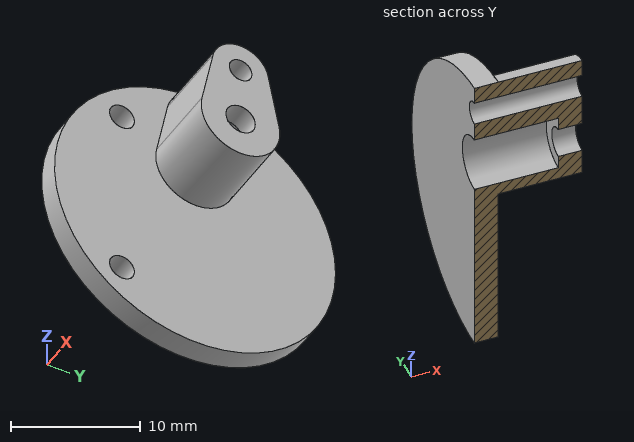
import cadquery as cq
import math

disc_diameter = 25
disc_thickness = 2

boss_length = 7
total_length = disc_thickness + boss_length
pin_z = 10
pin_hole_diameter = 2
pin_boss_radius = disc_diameter / 2 - pin_z
shaft_z = 5
shaft_boss_radius = 3.5
shaft_hole_diameter = 2.6

counterbore_diameter = 4.8
counterbore_depth = 7

side_hole_diameter = 2.2
side_hole_y = -6.5
side_hole_z = 7.7


def cylinder(diameter, length, y=0, z=0):
    """Cylinder along +X that starts at X = 0."""
    return cq.Workplane("YZ").center(y, z).circle(diameter / 2).extrude(length)


def make_boss():
    """Tapered lobe whose flats are tangent to both end arcs."""
    tangent_sin = (shaft_boss_radius - pin_boss_radius) / (pin_z - shaft_z)
    tangent_cos = math.sqrt(1 - tangent_sin**2)
    pin_tangent_y = pin_boss_radius * tangent_cos
    pin_tangent_z = pin_z + pin_boss_radius * tangent_sin
    shaft_tangent_y = shaft_boss_radius * tangent_cos
    shaft_tangent_z = shaft_z + shaft_boss_radius * tangent_sin
    return (
        cq.Workplane("YZ", origin=(disc_thickness, 0, 0))
        .moveTo(pin_tangent_y, pin_tangent_z)
        .threePointArc((0, pin_z + pin_boss_radius), (-pin_tangent_y, pin_tangent_z))
        .lineTo(-shaft_tangent_y, shaft_tangent_z)
        .threePointArc((0, shaft_z - shaft_boss_radius), (shaft_tangent_y, shaft_tangent_z))
        .close()
        .extrude(boss_length)
    )


result = cylinder(disc_diameter, disc_thickness).union(make_boss())

result = result.cut(cylinder(pin_hole_diameter, total_length, z=pin_z))
result = result.cut(cylinder(shaft_hole_diameter, total_length, z=shaft_z))
result = result.cut(cylinder(counterbore_diameter, counterbore_depth, z=shaft_z))

for z in (-side_hole_z, side_hole_z):
    result = result.cut(cylinder(side_hole_diameter, disc_thickness, side_hole_y, z))